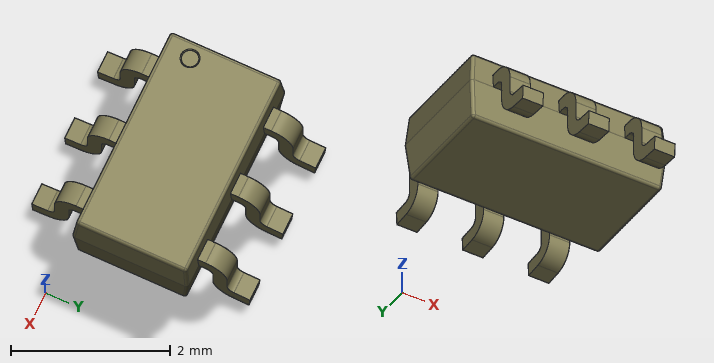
import cadquery as cq
import math

body_length = 2.9
body_width = 1.61
body_bottom = 0.1
body_top = 1.1
draft_angle = 5.0
edge_radius = 0.04

lead_thickness = 0.2
lead_width = 0.3
lead_pitch = 0.975
leads_per_side = 3
lead_top = 0.85
inner_bend_radius = 0.1
outer_bend_radius = inner_bend_radius + lead_thickness
shank_outer_y = 1.2
overall_width = 3.03
tip_y = overall_width / 2
foot_angle = math.radians(4.0)
lead_root_y = 0.5

parting_z = lead_top - lead_thickness

mark_top_diameter = 0.25
mark_floor_diameter = 0.22
mark_depth = 0.01
mark_x = -1.19
mark_y = -0.4


def body_half(height, direction):
    """Half of the body, tapering away from the parting plane; direction is +1 up or -1 down."""
    half = (
        cq.Workplane("XY")
        .rect(body_length, body_width)
        .extrude(height, taper=draft_angle)
    )
    half = half.edges("not <Z").fillet(edge_radius)
    if direction < 0:
        half = half.mirror("XY")
    return half.translate((0, 0, parting_z))


def make_body():
    """Complete body with rounded edges and a shallow round pin-one mark in the top."""
    upper = body_half(body_top - parting_z, 1)
    lower = body_half(parting_z - body_bottom, -1)
    mark = (
        cq.Workplane("XY", origin=(mark_x, mark_y, body_top - mark_depth))
        .circle(mark_floor_diameter / 2)
        .workplane(offset=mark_depth)
        .circle(mark_top_diameter / 2)
        .loft()
    )
    return upper.union(lower).cut(mark)


def polar(center, radius, angle):
    """Point at the given radius and angle from a centre in the YZ plane."""
    return (center[0] + radius * math.cos(angle), center[1] + radius * math.sin(angle))


def make_lead():
    """One lead on the +Y side, centred on X = 0, its foot sloping down towards the tip."""
    shank_inner_y = shank_outer_y - lead_thickness

    shoulder = (shank_outer_y - outer_bend_radius, lead_top - outer_bend_radius)
    shoulder_middle = math.pi / 4

    heel_y = shank_outer_y + inner_bend_radius
    foot_start_y = heel_y - inner_bend_radius * math.sin(foot_angle)
    foot_length = (tip_y - foot_start_y) / math.cos(foot_angle)
    heel_z = outer_bend_radius * math.cos(foot_angle) + foot_length * math.sin(foot_angle)
    heel = (heel_y, heel_z)

    bend_end = 1.5 * math.pi - foot_angle
    bend_middle = (math.pi + bend_end) / 2
    foot_top_start = polar(heel, inner_bend_radius, bend_end)
    foot_bottom_start = polar(heel, outer_bend_radius, bend_end)
    foot_top_tip = polar(foot_top_start, foot_length, -foot_angle)
    foot_bottom_tip = polar(foot_bottom_start, foot_length, -foot_angle)

    profile = (
        cq.Workplane("YZ")
        .moveTo(lead_root_y, lead_top)
        .lineTo(shoulder[0], lead_top)
        .threePointArc(polar(shoulder, outer_bend_radius, shoulder_middle), (shank_outer_y, shoulder[1]))
        .lineTo(shank_outer_y, heel_z)
        .threePointArc(polar(heel, inner_bend_radius, bend_middle), foot_top_start)
        .lineTo(*foot_top_tip)
        .lineTo(*foot_bottom_tip)
        .lineTo(*foot_bottom_start)
        .threePointArc(polar(heel, outer_bend_radius, bend_middle), (shank_inner_y, heel_z))
        .lineTo(shank_inner_y, shoulder[1])
        .threePointArc(polar(shoulder, inner_bend_radius, shoulder_middle), (shoulder[0], parting_z))
        .lineTo(lead_root_y, parting_z)
        .close()
    )
    return profile.extrude(lead_width / 2, both=True)


def make_part():
    """Body with a row of leads along each long side."""
    part = make_body()
    lead = make_lead()
    first_lead_x = -lead_pitch * (leads_per_side - 1) / 2
    for index in range(leads_per_side):
        placed_lead = lead.translate((first_lead_x + index * lead_pitch, 0, 0))
        part = part.union(placed_lead).union(placed_lead.mirror("XZ"))
    return part


result = make_part()